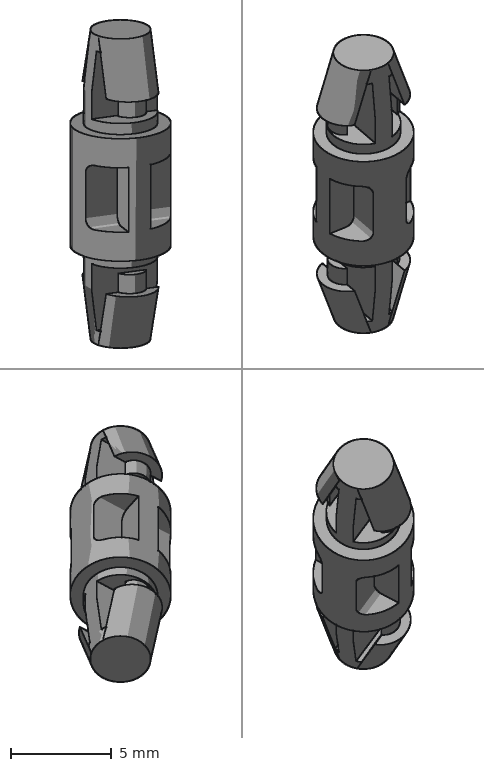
import cadquery as cq
import math

half_length = 8.1
body_half_height = 3.2
collar_top = 3.79

body_radius = 5.0 / 2
collar_radius = 3.7 / 2
tip_radius = 3.0 / 2

web_half_width = 0.5
cap_depth = 0.8
arm_height = 3.0
arm_splay = body_radius - tip_radius
arm_bottom = half_length - arm_height

post_length = 0.99
post_half_width = 0.76
post_thickness = 0.49

window_inner_x = 0.99
window_inner_y = 0.6
window_height = 3.37
window_corner_radius = 0.5


def rounded_segment(z, chord_x, half_chord, outer_x):
    """Closed outline bounded by a straight chord and an outward arc, at height z."""
    return (
        cq.Workplane("XY", origin=(0, 0, z))
        .moveTo(chord_x, -half_chord)
        .threePointArc((outer_x, 0), (chord_x, half_chord))
        .close()
    )


def make_arm():
    """Circle segment swept obliquely down and outwards from the tip, with its post."""
    half_chord = math.sqrt(tip_radius**2 - web_half_width**2)
    inner_bottom_x = web_half_width + arm_splay
    top_wire = rounded_segment(half_length, web_half_width, half_chord, tip_radius).val()
    bottom_wire = rounded_segment(arm_bottom, inner_bottom_x, half_chord, body_radius).val()
    arm = cq.Workplane(cq.Solid.makeLoft([bottom_wire, top_wire], True))
    post = rounded_segment(
        arm_bottom, inner_bottom_x, post_half_width, inner_bottom_x + post_thickness
    ).extrude(-post_length)
    return arm.union(post)


def make_head():
    """Collar, tapered web, tip cap and the two arms of the upper end."""
    core = (
        cq.Workplane("XZ")
        .moveTo(0, body_half_height)
        .lineTo(collar_radius, body_half_height)
        .lineTo(collar_radius, arm_bottom)
        .lineTo(tip_radius, half_length)
        .lineTo(0, half_length)
        .close()
        .revolve(360, (0, 0, 0), (0, 1, 0))
    )
    gap_height = half_length - cap_depth - collar_top
    gap_width = 2 * body_radius
    for side in (-1, 1):
        gap = (
            cq.Workplane("XY", origin=(side * (web_half_width + gap_width / 2), 0, collar_top))
            .rect(gap_width, gap_width)
            .extrude(gap_height)
        )
        core = core.cut(gap)
    arm = make_arm()
    return core.union(arm).union(arm.mirror("YZ"))


def make_body():
    """Cylinder with a window in each quadrant, rounded along its inner edges."""
    body = cq.Workplane("XY").circle(body_radius).extrude(body_half_height, both=True)
    window = (
        cq.Workplane("XY")
        .box(body_radius, body_radius, window_height, centered=(False, False, True))
        .edges("<X and |Y")
        .fillet(window_corner_radius)
        .translate((window_inner_x, window_inner_y, 0))
    )
    for half in (window, window.mirror("YZ")):
        body = body.cut(half).cut(half.mirror("XZ"))
    return body


head = make_head()
result = make_body().union(head).union(head.mirror("XY"))